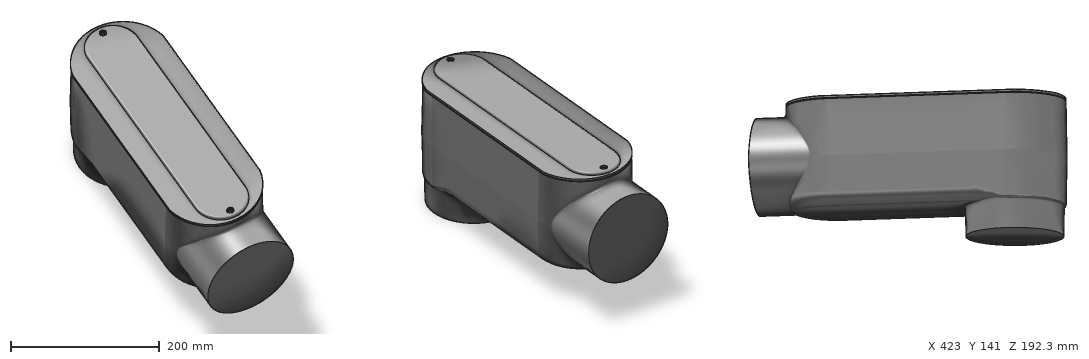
import cadquery as cq
import math

draft = 1.0
overall_length = 423.0
housing_width = 141.0
end_spacing = 243.0
housing_top = 78.0
housing_bottom = -66.5
hub_diameter = 132.0
mouth_lean = 1.5
lower_hub_end = -106.5
side_hub_blend = 3.5
lower_hub_blend = 2.0
bottom_fillet = 18.5
boss_fillet = 4.5
blend_length = 48.0
blend_sections = 5

gasket_thickness = 1.3
cover_half_width = 69.8
cover_half_length = 190.5
cover_half_straight = 133.0
flange_thickness = 3.0
pad_radius = 38.5
pad_spacing = 295.0
pad_height = 3.5
pad_fillet = 3.0
screw_spacing = 350.0
screw_hole_diameter = 6.5
counterbore_diameter = 9.7
counterbore_depth = 2.5

half_width = housing_width / 2
hub_radius = hub_diameter / 2
side_hub_end = overall_length - half_width
middle_x = end_spacing / 2
draft_slope = math.tan(math.radians(draft))
gasket_top = housing_top + gasket_thickness
flange_top = gasket_top + flange_thickness
pad_top = flange_top + pad_height


def drafted_half(height):
    """One half of the long round-ended block, tapering away from the parting plane."""
    return (
        cq.Workplane("XY")
        .center(middle_x, 0)
        .slot2D(end_spacing + housing_width, housing_width)
        .extrude(height, taper=draft)
    )


def slab(x_start, x_end):
    """A box over the lower half, limited in X only."""
    return (
        cq.Workplane("XY", origin=(x_start, 0, housing_bottom))
        .box(x_end - x_start, housing_width, -housing_bottom, centered=(False, True, False))
    )


def blend_section(x, radius):
    """Cross-section of the lower half at x, with both bottom corners rounded."""
    depth = -housing_bottom
    foot = half_width - depth * draft_slope
    tangent = radius / math.tan(math.radians(90 + draft) / 2)
    rise = tangent * math.cos(math.radians(draft))
    spread = tangent * math.sin(math.radians(draft))
    return (
        cq.Workplane("YZ", origin=(x, 0, 0))
        .moveTo(-half_width, 0)
        .lineTo(-foot - spread, housing_bottom + rise)
        .radiusArc((-foot + tangent, housing_bottom), -radius)
        .lineTo(foot - tangent, housing_bottom)
        .radiusArc((foot + spread, housing_bottom + rise), -radius)
        .lineTo(half_width, 0)
        .close()
        .wire()
        .val()
    )


def blend_stretch():
    """Stretch of the lower half whose edge radius grows smoothly along X."""
    sections = []
    for i in range(blend_sections):
        part = i / (blend_sections - 1)
        ease = part + part**2 - part**3
        radius = boss_fillet + (bottom_fillet - boss_fillet) * ease
        sections.append(blend_section(blend_length * part, radius))
    return cq.Workplane("XY").newObject([cq.Solid.makeLoft(sections)])


def lower_half():
    """Lower half in three lengths: around the hub, the changing stretch and the long part."""
    block = drafted_half(housing_bottom)
    boss_end = block.faces("<Z").edges().fillet(boss_fillet).intersect(slab(-half_width, 0))
    long_end = block.faces("<Z").edges().fillet(bottom_fillet).intersect(
        slab(blend_length, end_spacing + half_width)
    )
    return boss_end.union(blend_stretch()).union(long_end)


def side_hub():
    """Hub along X whose mouth leans back on both sides of the parting plane."""
    setback = hub_radius * math.tan(math.radians(mouth_lean))
    return (
        cq.Workplane("YZ", origin=(end_spacing, 0, 0))
        .circle(hub_radius)
        .extrude(side_hub_end - end_spacing)
        .intersect(
            cq.Workplane("XZ")
            .moveTo(end_spacing, -hub_radius)
            .lineTo(side_hub_end - setback, -hub_radius)
            .lineTo(side_hub_end, 0)
            .lineTo(side_hub_end - setback, hub_radius)
            .lineTo(end_spacing, hub_radius)
            .close()
            .extrude(hub_radius, both=True)
        )
    )


def lower_hub():
    """Hub along Z, widening upward at the draft angle, from its mouth up into the housing."""
    height = -lower_hub_end
    return (
        cq.Workplane("XY", origin=(0, 0, lower_hub_end))
        .circle(hub_radius)
        .workplane(offset=height)
        .circle(hub_radius + height * draft_slope)
        .loft()
    )


def join_side_hub(body):
    """Adds the side hub and rounds the curved corner where it leaves the end of the block."""
    around_joint = cq.selectors.BoxSelector(
        (end_spacing, -half_width, housing_bottom),
        (end_spacing + half_width + side_hub_blend, half_width, housing_top),
    )
    joint = body.union(side_hub()).edges("%BSPLINE").edges(around_joint)
    return joint.fillet(side_hub_blend)


def join_lower_hub(body):
    """Adds the lower hub and rounds the corner where it leaves the underside."""
    hub_side = cq.selectors.NearestToPointSelector((0, 0, (housing_bottom + lower_hub_end) / 2))
    upper_rim = cq.selectors.BoxSelector(
        (-half_width, -half_width, housing_bottom - boss_fillet),
        (half_width, half_width, housing_bottom + boss_fillet),
    )
    joint = body.union(lower_hub()).faces(hub_side).edges(upper_rim)
    return joint.fillet(lower_hub_blend)


def make_housing():
    body = drafted_half(housing_top).union(lower_half())
    return join_lower_hub(join_side_hub(body))


def cover_outline(z):
    """Long outline with shallow-cornered arc ends, shared by the gasket and the cover flange."""
    return (
        cq.Workplane("XY", origin=(middle_x, 0, z))
        .moveTo(-cover_half_straight, -cover_half_width)
        .lineTo(cover_half_straight, -cover_half_width)
        .threePointArc((cover_half_length, 0), (cover_half_straight, cover_half_width))
        .lineTo(-cover_half_straight, cover_half_width)
        .threePointArc((-cover_half_length, 0), (-cover_half_straight, -cover_half_width))
        .close()
    )


def make_gasket():
    return cover_outline(housing_top).extrude(gasket_thickness)


def make_cover():
    flange = cover_outline(gasket_top).extrude(flange_thickness)
    pad = (
        cq.Workplane("XY", origin=(middle_x, 0, flange_top))
        .slot2D(pad_spacing + 2 * pad_radius, 2 * pad_radius)
        .extrude(pad_height)
        .faces(">Z")
        .edges()
        .fillet(pad_fillet)
    )
    return (
        flange.union(pad)
        .faces(">Z")
        .workplane(origin=(middle_x, 0, pad_top))
        .pushPoints([(-screw_spacing / 2, 0), (screw_spacing / 2, 0)])
        .cboreHole(screw_hole_diameter, counterbore_diameter, counterbore_depth)
    )


housing = make_housing()
gasket = make_gasket()
cover = make_cover()

result = cq.Compound.makeCompound([housing.val(), gasket.val(), cover.val()])